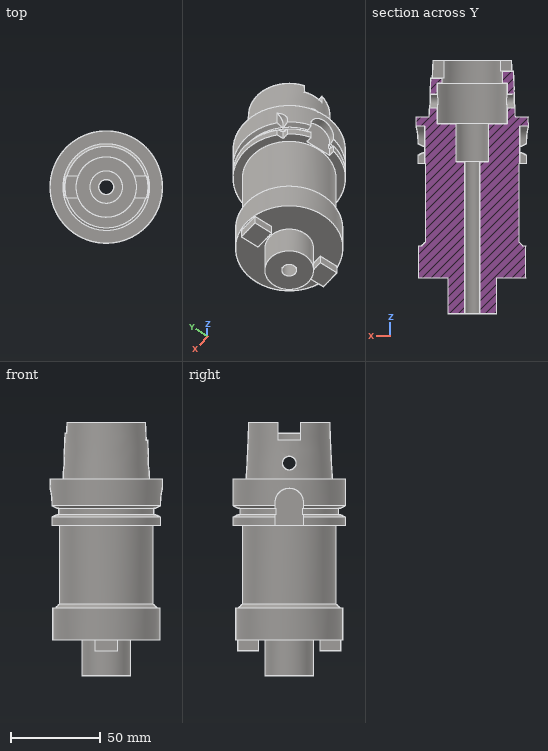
import cadquery as cq

top_z = 142.0
gauge_z = 110.3
groove_upper_z = 95.3
groove_lower_z = 88.9
groove_chamfer = 1.4
groove_lip_depth = 2.7
flange_bottom_z = 84.2
collar_cone_z = 40.3
collar_top_z = 38.0
collar_bottom_z = 20.0

taper_top_radius = 22.9
taper_base_radius = 24.3
flange_radius = 31.5
groove_radius = 27.7
sleeve_radius = 26.3
collar_radius = 30.1
pilot_radius = 13.6
collar_cone_radius = sleeve_radius + collar_cone_z - collar_top_z

mouth_radius = 16.9
mouth_bottom_z = 129.1
undercut_radius = 19.6
socket_floor_z = 106.5
counterbore_radius = 9.1
counterbore_floor_z = 85.2
through_radius = 4.1

notch_width = 12.4
shallow_notch_floor_z = 135.9
deep_notch_floor_z = 132.0
cross_hole_radius = 3.76
cross_hole_z = 119.1

slot_radius = 8.0
slot_top_z = 105.1
drive_slot_floor = 26.7
side_slot_floor = 20.3
side_slot_edge = 19.9

key_width = 12.5
key_bottom_z = 14.0
key_inner = 17.2
key_outer = 29.0


def turned(profile):
    """Revolve an (R, Z) outline about the tool axis."""
    return cq.Workplane("XZ").polyline(profile).close().revolve(360, (0, 0), (0, 1))


def body():
    groove_lip_radius = flange_radius - groove_lip_depth
    return turned([
        (0, 0),
        (pilot_radius, 0),
        (pilot_radius, collar_bottom_z),
        (collar_radius, collar_bottom_z),
        (collar_radius, collar_top_z),
        (collar_cone_radius, collar_top_z),
        (sleeve_radius, collar_cone_z),
        (sleeve_radius, flange_bottom_z),
        (flange_radius, flange_bottom_z),
        (flange_radius, groove_lower_z),
        (groove_lip_radius, groove_lower_z + groove_chamfer),
        (groove_radius, groove_lower_z + groove_chamfer),
        (groove_radius, groove_upper_z - groove_chamfer),
        (groove_lip_radius, groove_upper_z - groove_chamfer),
        (flange_radius, groove_upper_z),
        (flange_radius, gauge_z),
        (taper_base_radius, gauge_z),
        (taper_top_radius, top_z),
        (0, top_z),
    ])


def bore():
    return turned([
        (0, 0),
        (through_radius, 0),
        (through_radius, counterbore_floor_z),
        (counterbore_radius, counterbore_floor_z),
        (counterbore_radius, socket_floor_z),
        (undercut_radius, socket_floor_z),
        (undercut_radius, mouth_bottom_z),
        (mouth_radius, mouth_bottom_z),
        (mouth_radius, top_z),
        (0, top_z),
    ])


def flange_slot(center_y, floor_distance):
    """Cutter for a slot milled from the -X side, open at the flange bottom."""
    arc_center_z = slot_top_z - slot_radius
    return (
        cq.Workplane("YZ", origin=(-floor_distance, center_y, 0))
        .moveTo(-slot_radius, flange_bottom_z)
        .lineTo(-slot_radius, arc_center_z)
        .threePointArc((0, slot_top_z), (slot_radius, arc_center_z))
        .lineTo(slot_radius, flange_bottom_z)
        .close()
        .extrude(-flange_radius)
    )


def drive_notch(side, floor_z):
    return (
        cq.Workplane("XY", origin=(0, 0, floor_z))
        .center(side * flange_radius / 2, 0)
        .rect(flange_radius, notch_width)
        .extrude(top_z - floor_z)
    )


def cross_hole():
    return (
        cq.Workplane("YZ")
        .center(0, cross_hole_z)
        .circle(cross_hole_radius)
        .extrude(flange_radius, both=True)
    )


def key(side):
    return (
        cq.Workplane("XY", origin=(0, 0, key_bottom_z))
        .center(0, side * (key_inner + key_outer) / 2)
        .rect(key_width, key_outer - key_inner)
        .extrude(collar_top_z - key_bottom_z)
    )


result = body()
for side in (-1, 1):
    result = result.union(key(side))

result = result.cut(bore()).cut(cross_hole())
result = result.cut(drive_notch(-1, shallow_notch_floor_z))
result = result.cut(drive_notch(1, deep_notch_floor_z))

drive_slot = flange_slot(0, drive_slot_floor)
for angle in (0, 180):
    result = result.cut(drive_slot.rotate((0, 0, 0), (0, 0, 1), angle))
result = result.cut(flange_slot(side_slot_edge + slot_radius, side_slot_floor))